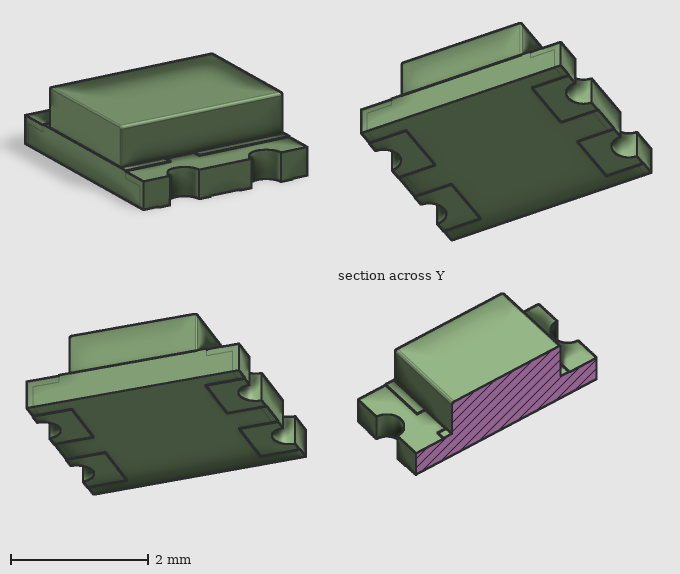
import cadquery as cq

length = 3.3
width = 2.8
height = 1.1

pad_thickness = 0.013
base_top = 0.47
cap_top = 0.455
cap_wall = 0.1
cap_plate = 0.105
cap_length = 0.5

notch_radius = 0.25
notch_offset = width / 4
pad_length = 0.61
pad_width = 0.898

left_tongue_width = 0.198
left_tongue_start = 0.257
right_tongue_width = 0.495
right_tongue_start = 0.765
tongues = [
    (-1, left_tongue_start, left_tongue_width),
    (1, right_tongue_start, right_tongue_width),
]

lens_length = 1.993
lens_width = 2.772
lens_long_edge_radius = 0.045
lens_small_radius = 0.023


def block(x_min, x_max, y_min, y_max, z_min, z_max):
    """Axis-aligned box given by its limits."""
    size = (x_max - x_min, y_max - y_min, z_max - z_min)
    return cq.Workplane("XY").box(*size, centered=False).translate((x_min, y_min, z_min))


def make_tongue(side, start, tongue_width, z_max):
    """Strip from one cap to the lens, at the level of the cap plate."""
    inner, outer = sorted((side * lens_length / 2, side * (length / 2 - cap_length)))
    y_min = start - width / 2
    return block(inner, outer, y_min, y_min + tongue_width, cap_top - cap_plate, z_max)


def make_cap(side, tongue_start, tongue_width):
    """L-shaped metal cap with its tongue; side is -1 for -X and +1 for +X."""
    outline = [
        (side * length / 2, pad_thickness),
        (side * length / 2, cap_top),
        (side * (length / 2 - cap_length), cap_top),
        (side * (length / 2 - cap_length), cap_top - cap_plate),
        (side * (length / 2 - cap_wall), cap_top - cap_plate),
        (side * (length / 2 - cap_wall), pad_thickness),
    ]
    cap = cq.Workplane("XZ").polyline(outline).close().extrude(width / 2, both=True)
    return cap.union(make_tongue(side, tongue_start, tongue_width, cap_top))


def make_base():
    """Base core, raised slightly above the caps, with gaps for the tongues."""
    core_half = length / 2 - cap_wall
    raised_half = length / 2 - cap_length
    core = block(-core_half, core_half, -width / 2, width / 2, pad_thickness, cap_top - cap_plate)
    raised = block(-raised_half, raised_half, -width / 2, width / 2, pad_thickness, base_top)
    base = core.union(raised)
    for tongue in tongues:
        base = base.cut(make_tongue(*tongue, base_top))
    return base


def make_pads():
    """Four thin solder pads under the base, centred on the notches."""
    pad_x = (length - pad_length) / 2
    centers = [(x, y) for x in (-pad_x, pad_x) for y in (-notch_offset, notch_offset)]
    return cq.Workplane("XY").pushPoints(centers).rect(pad_length, pad_width).extrude(pad_thickness)


def make_notches():
    """Four cylinders centred on the end faces, with their seams outside the part."""
    centers = [(length / 2, y) for y in (-notch_offset, notch_offset)]
    right_pair = cq.Workplane("XY").pushPoints(centers).circle(notch_radius).extrude(base_top)
    left_pair = right_pair.rotate((0, 0, 0), (0, 0, 1), 180)
    return right_pair.add(left_pair).combine()


def make_lens():
    """Lens block with larger rounds along its two long top edges."""
    lens = block(-lens_length / 2, lens_length / 2, -lens_width / 2, lens_width / 2, base_top, height)
    lens = lens.faces(">Z").edges("|Y").fillet(lens_long_edge_radius)
    end_edges = lens.faces("<Y or >Y").edges("not <Z")
    return end_edges.fillet(lens_small_radius)


result = make_base()
for cap_tongue in tongues:
    result = result.union(make_cap(*cap_tongue), clean=False)
result = result.union(make_pads(), clean=False)
result = result.cut(make_notches(), clean=False)
result = result.union(make_lens(), clean=False)